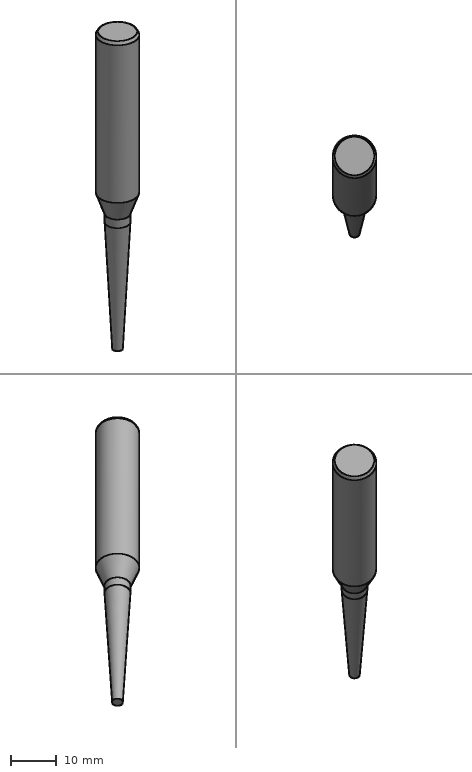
import cadquery as cq
import math

total_length = 79.4
cutter_length = 31.75
neck_length = 2.15
shoulder_length = 5.25

shank_radius = 4.8
tip_radius = 1.2
taper_angle = 3.0
chamfer_height = 0.8
chamfer_width = 0.5

tip_z = -total_length / 2
top_z = tip_z + total_length
cutter_top_z = tip_z + cutter_length
neck_top_z = cutter_top_z + neck_length
shoulder_top_z = neck_top_z + shoulder_length
neck_radius = tip_radius + cutter_length * math.tan(math.radians(taper_angle))


def revolve_profile(points):
    """Revolve a closed half-profile of (radius, z) points about the Z axis."""
    return cq.Workplane("XZ").polyline(points).close().revolve(360, (0, 0), (0, 1))


def make_cutter():
    """Tapered cutting end with a flat tip."""
    return revolve_profile([
        (0, tip_z),
        (tip_radius, tip_z),
        (neck_radius, cutter_top_z),
        (0, cutter_top_z),
    ])


def make_shank():
    """Straight neck, conical shoulder and chamfered cylindrical shank."""
    return revolve_profile([
        (0, cutter_top_z),
        (neck_radius, cutter_top_z),
        (neck_radius, neck_top_z),
        (shank_radius, shoulder_top_z),
        (shank_radius, top_z - chamfer_height),
        (shank_radius - chamfer_width, top_z),
        (0, top_z),
    ])


cutter = make_cutter()
shank = make_shank()
result = cq.Compound.makeCompound([cutter.val(), shank.val()])